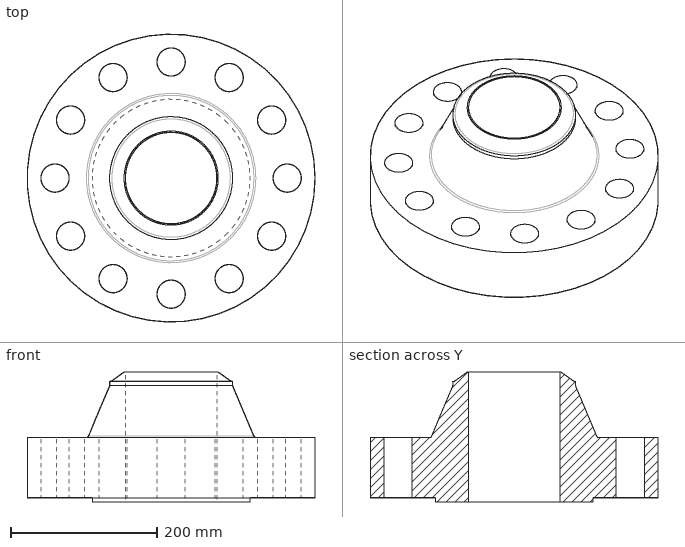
import cadquery as cq

flange_diameter = 393.5
flange_thickness = 82.5
raised_face_diameter = 215.5
raised_face_height = 6.0

overall_height = 178.0
hub_base_diameter = 228.0
hub_fillet = 2.8
pipe_diameter = 168.0
pipe_end_height = 5.5

bevel_height = 13.0
shoulder_width = 3.0
shoulder_height = 1.0
bore_diameter = 124.8
rim_width = 2.0

bolt_count = 12
bolt_circle_diameter = 317.2
bolt_hole_diameter = 38.0

flange_bottom = raised_face_height
flange_top = flange_bottom + flange_thickness
bevel_bottom = overall_height - bevel_height
taper_top = bevel_bottom - pipe_end_height


def disc(diameter, bottom, height):
    """Solid cylinder on the Z axis."""
    return cq.Workplane("XY").workplane(offset=bottom).circle(diameter / 2).extrude(height)


def weld_neck():
    """Revolve the tapered hub, pipe end, shoulder and bevel around the Z axis."""
    outline = [
        (0, flange_top),
        (hub_base_diameter / 2, flange_top),
        (pipe_diameter / 2, taper_top),
        (pipe_diameter / 2, bevel_bottom),
        (pipe_diameter / 2 - shoulder_width, bevel_bottom + shoulder_height),
        (bore_diameter / 2 + rim_width, overall_height),
        (0, overall_height),
    ]
    return cq.Workplane("XZ").polyline(outline).close().revolve(360, (0, 0), (0, 1))


def bolt_holes():
    """Cutters for the evenly spaced holes through the flange."""
    return (
        cq.Workplane("XY")
        .workplane(offset=flange_bottom)
        .polarArray(bolt_circle_diameter / 2, 0, 360, bolt_count)
        .circle(bolt_hole_diameter / 2)
        .extrude(flange_thickness)
    )


body = disc(flange_diameter, flange_bottom, flange_thickness).union(weld_neck())

foot_reach = hub_base_diameter / 2 + hub_fillet
foot_selector = cq.selectors.BoxSelector(
    (-foot_reach, -foot_reach, flange_top - hub_fillet),
    (foot_reach, foot_reach, flange_top + hub_fillet),
    boundingbox=True,
)
body = body.edges(foot_selector).edges("%CIRCLE").fillet(hub_fillet)

body = body.union(disc(raised_face_diameter, 0, raised_face_height))
result = body.cut(bolt_holes()).cut(disc(bore_diameter, 0, overall_height))